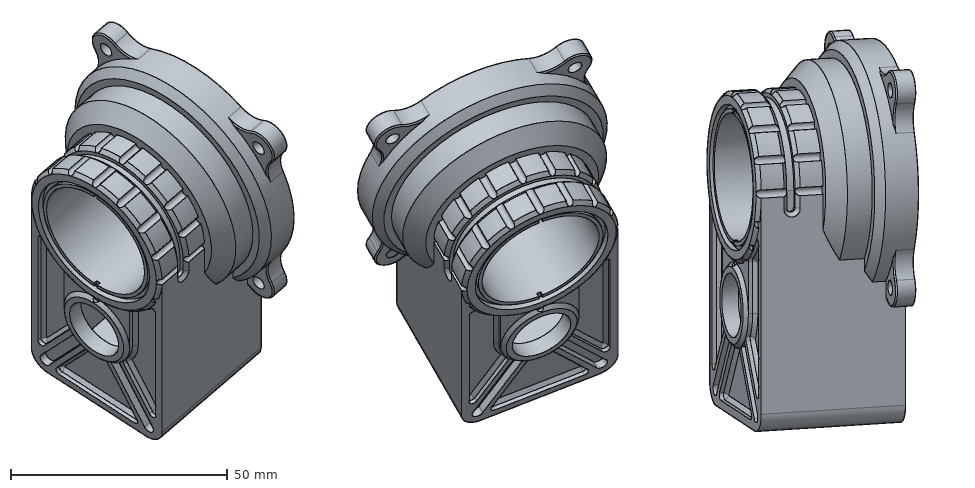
import cadquery as cq
import math


chamfer = 1.0
wall = 2.0

overall_width = 60.2
flange_radius = overall_width / 2
flange_edge_depth = 8.0
flange_chamfer = 2.0
body_radius = 26.1
body_edge_depth = 16.0
body_front_depth = 20.0
neck_radius = 20.0
bore_radius = 15.0
overall_depth = 36.0
overall_height = 87.1

box_front_depth = overall_depth - chamfer
box_half_width = neck_radius
box_bottom = flange_radius - overall_height
box_corner_radius = 5.0

lug_offset = 23.3
lug_radius = 4.5
lug_depth = 4.8
lug_blend_radius = 7.0
lug_edge_chamfer = 0.35
lug_hole_diameter = 3.5
blind_hole_diameter = 3.2
blind_hole_depth = 0.1

notch_count = 16
notch_radius = chamfer
ring_groove_depth = 27.5
ring_groove_width = 2.0
ring_groove_floor_radius = neck_radius - 2 * chamfer
ring_groove_end_z = -3.9

lip_groove_radius = 17.0
lip_radius = 15.9
lip_setback = 0.5
lip_groove_floor = 1.5
lip_slot_width = 1.0

bearing_z = -30.2
bearing_bore_radius = 7.5
bearing_radius = 10.0
bearing_back_depth = 32.0

pocket_depth = 2.0
pocket_corner_radius = 1.05
rib_slot_width = 3.0
rib_half_width = rib_slot_width
rib_slot_end = (15.85, -53.3)


def cylinder(radius, start, end, x=0.0, z=0.0):
    """Cylinder along Y between two depths."""
    return (
        cq.Workplane("XZ", origin=(x, -start, z))
        .circle(radius)
        .extrude(end - start)
    )


def block(x_min, x_max, start, end, z_min, z_max):
    """Box given by its X range, its depth range and its Z range."""
    return cq.Workplane("XY").box(
        x_max - x_min, end - start, z_max - z_min, centered=False
    ).translate((x_min, -end, z_min))


def revolved(profile):
    """Turn a closed (radius, depth) outline about the main bore axis."""
    points = [(radius, -depth) for radius, depth in profile]
    return cq.Workplane("XY").polyline(points).close().revolve(360, (0, 0, 0), (0, 1, 0))


def diagonal_bar(side, half_width, start, end):
    """Round-ended bar from the bearing centre to a lower box corner."""
    run = side * rib_slot_end[0]
    drop = rib_slot_end[1] - bearing_z
    length = math.hypot(run, drop)
    return (
        cq.Workplane("XZ", origin=(run / 2, -start, bearing_z + drop / 2))
        .transformed(rotate=(0, 0, math.degrees(math.atan2(drop, run))))
        .slot2D(length + 2 * half_width, 2 * half_width)
        .extrude(end - start)
    )


def round_body():
    return revolved([
        (0, 0),
        (flange_radius, 0),
        (flange_radius, flange_edge_depth),
        (flange_radius - flange_chamfer, flange_edge_depth + flange_chamfer),
        (body_radius, flange_edge_depth + flange_chamfer),
        (body_radius, body_edge_depth),
        (body_radius - (body_front_depth - body_edge_depth), body_front_depth),
        (neck_radius, body_front_depth),
        (neck_radius, overall_depth - chamfer),
        (neck_radius - chamfer, overall_depth),
        (0, overall_depth),
    ])


def lug_plate():
    plate = cylinder(flange_radius, 0, lug_depth)
    for x in (-lug_offset, lug_offset):
        for z in (-lug_offset, lug_offset):
            plate = plate.union(cylinder(lug_radius, 0, lug_depth, x, z))
    plate = plate.edges("|Y").fillet(lug_blend_radius)
    return plate.faces("<Y").chamfer(lug_edge_chamfer)


def lower_box():
    box = block(-box_half_width, box_half_width, 0, box_front_depth, box_bottom, 0)
    return box.edges("|Y and <Z").fillet(box_corner_radius)


def bearing_boss():
    boss = cylinder(bearing_radius, bearing_back_depth, overall_depth, z=bearing_z)
    return boss.faces("<Y").chamfer(chamfer)


def gear_chamber():
    """Chamber open at the back, as wide as the bore, running down behind the front wall."""
    bottom = box_bottom + wall
    chamber = block(-bore_radius, bore_radius, 0, bearing_back_depth, bottom, 0)
    return chamber.cut(cylinder(neck_radius, body_edge_depth, overall_depth))


def front_pockets():
    """Two side pockets and one lower pocket, with rounded corners and sloped floor edges."""
    floor = box_front_depth - pocket_depth
    half_width = box_half_width - wall
    bottom = box_bottom + wall
    ribs = diagonal_bar(1, rib_half_width, floor, box_front_depth).union(
        diagonal_bar(-1, rib_half_width, floor, box_front_depth)
    )
    bearing_pad = cylinder(bearing_radius, floor, box_front_depth, z=bearing_z)
    upper_pad = block(-bearing_radius, bearing_radius, floor, box_front_depth, bearing_z, 0)
    neck = cylinder(neck_radius, floor, box_front_depth)

    side = block(0, half_width, floor, box_front_depth, bottom, 0)
    side = side.cut(bearing_pad.union(upper_pad)).cut(neck).cut(ribs)
    side = cq.Workplane(side.solids(">X").val())
    side = side.edges("|Y").fillet(pocket_corner_radius)
    side = side.faces(">Y").chamfer(chamfer)

    lower = block(-half_width, half_width, floor, box_front_depth, bottom, bearing_z)
    lower = cq.Workplane(lower.cut(ribs).solids("<Z").val())
    lower = lower.edges("|Y and <Z").fillet(pocket_corner_radius)
    lower = lower.faces(">Y").chamfer(chamfer).cut(bearing_pad)

    return side.union(side.mirror("YZ")).union(lower)


def neck_notches():
    """Round grooves along the neck; below the axis they stop at the box front."""
    cutters = cq.Workplane("XZ")
    for index in range(notch_count):
        angle = 2 * math.pi * index / notch_count
        x = neck_radius * math.cos(angle)
        z = neck_radius * math.sin(angle)
        start = box_front_depth if index > notch_count / 2 else body_front_depth
        cutters = cutters.add(cylinder(notch_radius, start, overall_depth, x, z))
    return cutters.combine()


def ring_groove():
    """Chamfered groove over the top of the neck, running a little way down the box sides."""
    near = ring_groove_depth - ring_groove_width / 2
    far = ring_groove_depth + ring_groove_width / 2
    outer = neck_radius + chamfer
    groove = revolved([
        (ring_groove_floor_radius, near),
        (neck_radius - chamfer, near),
        (outer, near - 2 * chamfer),
        (outer, far + 2 * chamfer),
        (neck_radius - chamfer, far),
        (ring_groove_floor_radius, far),
    ]).intersect(block(-outer, outer, 0, overall_depth, 0, outer))
    slot_length = 2 * abs(ring_groove_end_z)
    rim_width = ring_groove_width + 2 * chamfer
    for side in (-1, 1):
        side_plane = cq.Plane(
            origin=(side * neck_radius, -ring_groove_depth, 0),
            xDir=(0, 0, 1),
            normal=(-side, 0, 0),
        )
        slot = (
            cq.Workplane(side_plane)
            .slot2D(slot_length + ring_groove_width, ring_groove_width)
            .extrude(neck_radius - ring_groove_floor_radius)
        )
        rim = (
            cq.Workplane(side_plane)
            .slot2D(slot_length + rim_width, rim_width)
            .extrude(chamfer, taper=45)
        )
        groove = groove.union(slot).union(rim)
    return groove


def bore_lip():
    """Set-back lip with a narrow groove around it and a slot at its top and bottom."""
    groove_start = overall_depth - lip_groove_floor
    groove = cylinder(lip_groove_radius, groove_start, overall_depth).cut(
        cylinder(lip_radius, groove_start, overall_depth - lip_setback)
    )
    slots = block(
        -lip_slot_width / 2, lip_slot_width / 2, groove_start, overall_depth, -lip_radius, lip_radius
    )
    return groove.union(slots)


def rib_slots():
    """Slot along the middle of each diagonal rib, from the bearing boss to the corner."""
    start = box_front_depth - pocket_depth
    slots = diagonal_bar(1, rib_slot_width / 2, start, box_front_depth).union(
        diagonal_bar(-1, rib_slot_width / 2, start, box_front_depth)
    )
    return slots.cut(cylinder(bearing_radius, start, box_front_depth, z=bearing_z))


def lug_holes():
    """Three through holes and, in the lower -X lug, a shallow blind recess."""
    holes = cylinder(
        blind_hole_diameter / 2, lug_depth - blind_hole_depth, lug_depth, -lug_offset, -lug_offset
    )
    for x_sign, z_sign in ((-1, 1), (1, 1), (1, -1)):
        x = x_sign * lug_offset
        z = z_sign * lug_offset
        holes = holes.union(cylinder(lug_hole_diameter / 2, 0, lug_depth, x, z))
    return holes


result = round_body().union(lug_plate()).union(lower_box())
result = result.cut(front_pockets()).cut(rib_slots()).union(bearing_boss())
result = result.cut(gear_chamber())
result = result.cut(neck_notches()).cut(ring_groove()).cut(bore_lip())
result = result.cut(cylinder(bore_radius, 0, overall_depth))
result = result.cut(cylinder(bearing_bore_radius, 0, overall_depth, z=bearing_z))
result = result.cut(lug_holes())